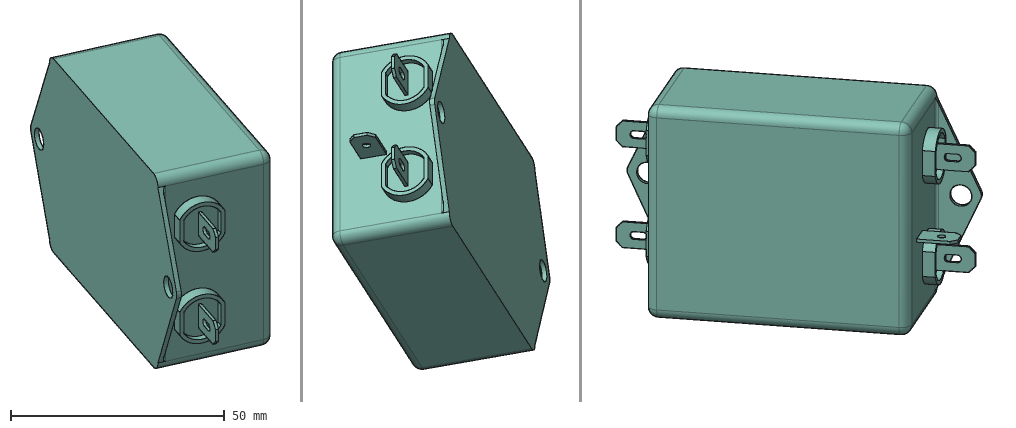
import cadquery as cq

body_length = 63.0
body_depth = 29.5
body_height = 52.5
edge_radius = 2.5

flange_thickness = 1.2
flange_apex_x = 42.65
flange_apex_z = 0.35
flange_tip_radius = 2.15
flange_bend_radius = 0.7
mount_hole_diameter = 5.25
mount_hole_x = 37.5

cup_diameter = 13.1
cup_width = 11.5
cup_length = 3.1
cup_wall = 1.0
cup_recess = 1.6
cup_y = 10.0
cup_z = 12.5

terminal_tip_x = 43.0
blade_y = 10.1
blade_width = 6.4
blade_thickness = 0.8
blade_chamfer = 1.55
blade_root = 0.9
blade_hole_diameter = 1.9
blade_hole_to_tip = 4.3
blade_slot_length = 4.0

earth_tip_x = 41.1
earth_y = 18.7
earth_z = -4.65

end_x = body_length / 2
cup_end_x = end_x + cup_length
cup_floor_x = cup_end_x - cup_recess


def make_housing():
    housing = cq.Workplane("XY").box(
        body_length, body_depth, body_height, centered=(True, False, True)
    )
    return housing.edges("|Y or >Y").fillet(edge_radius)


def make_flange_prism(thickness):
    """Hexagonal flange outline with rounded tips, grown from Y = 0 towards +Y."""
    corner_z = body_height / 2 - edge_radius
    outline = [
        (-end_x, corner_z),
        (end_x, corner_z),
        (flange_apex_x, flange_apex_z),
        (end_x, -corner_z),
        (-end_x, -corner_z),
        (-flange_apex_x, flange_apex_z),
    ]
    prism = cq.Workplane("XZ").polyline(outline).close().extrude(-thickness)
    return prism.edges("|Y and (<X or >X)").fillet(flange_tip_radius)


def make_bend_fillet(side):
    """Concave strip joining the flange to one end of the housing, trimmed to the flange outline."""
    bend_top = flange_thickness + flange_bend_radius
    strip_height = body_height - 2 * edge_radius
    strip = (
        cq.Workplane("XY", origin=(0, 0, -strip_height / 2))
        .moveTo(side * end_x, flange_thickness)
        .lineTo(side * (end_x + flange_bend_radius), flange_thickness)
        .radiusArc((side * end_x, bend_top), side * flange_bend_radius)
        .close()
        .extrude(strip_height)
    )
    return strip.intersect(make_flange_prism(bend_top))


def make_mount_holes():
    return (
        cq.Workplane("XZ")
        .pushPoints([(-mount_hole_x, 0), (mount_hole_x, 0)])
        .circle(mount_hole_diameter / 2)
        .extrude(-body_depth)
    )


def flatted_disc(diameter, width, x_start, x_end):
    """Disc along X with two flats across Y, at the cup's Y position and Z = 0."""
    length = x_end - x_start
    disc = cq.Workplane("YZ", origin=(x_start, cup_y, 0)).circle(diameter / 2).extrude(length)
    flats = cq.Workplane("YZ", origin=(x_start, cup_y, 0)).rect(width, diameter).extrude(length)
    return disc.intersect(flats)


def make_blade(root_x, tip_x, slot_length):
    """Chamfered blade along +X, lying in the XZ plane and centred on Y = 0."""
    blade = cq.Workplane("XY").box(
        tip_x - root_x, blade_thickness, blade_width, centered=(False, True, True)
    ).translate((root_x, 0, 0))
    blade = blade.edges("|Y and >X").chamfer(blade_chamfer)
    hole_x = tip_x - blade_hole_to_tip
    slot_center_x = hole_x - (slot_length - blade_hole_diameter) / 2
    hole = cq.Workplane("XZ").center(slot_center_x, 0)
    if slot_length > blade_hole_diameter:
        hole = hole.slot2D(slot_length, blade_hole_diameter)
    else:
        hole = hole.circle(blade_hole_diameter / 2)
    return blade.cut(hole.extrude(blade_thickness, both=True))


def make_connector():
    """Cup with its blade on the +X end, centred on Z = 0."""
    cup = flatted_disc(cup_diameter, cup_width, end_x - blade_root, cup_end_x)
    recess = flatted_disc(
        cup_diameter - 2 * cup_wall, cup_width - 2 * cup_wall, cup_floor_x, cup_end_x
    )
    blade = make_blade(cup_floor_x - blade_root, terminal_tip_x, blade_slot_length)
    return cup.cut(recess).union(blade.translate((0, blade_y, 0)))


def make_earth_terminal():
    blade = make_blade(end_x - blade_root, earth_tip_x, blade_hole_diameter)
    flat_blade = blade.rotate((0, 0, 0), (1, 0, 0), 90)
    return flat_blade.mirror("YZ").translate((0, earth_y, earth_z))


result = make_housing().union(make_flange_prism(flange_thickness))
for side in (-1, 1):
    result = result.union(make_bend_fillet(side))
result = result.cut(make_mount_holes())

connector = make_connector()
for z in (-cup_z, cup_z):
    placed = connector.translate((0, 0, z))
    result = result.union(placed).union(placed.mirror("YZ"))

result = result.union(make_earth_terminal())